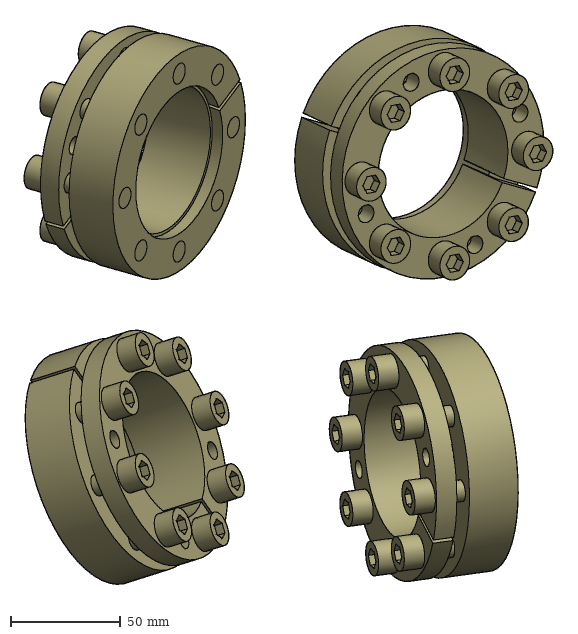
import cadquery as cq
import math

head_height = 10.0
flange_thickness = 10.0
gap = 6.0
outer_ring_length = 24.0
flange_x = head_height
hub_x = flange_x + flange_thickness
outer_ring_x = hub_x + gap
end_x = outer_ring_x + outer_ring_length
inner_ring_setback = gap
inner_ring_end_x = end_x - inner_ring_setback

bore_radius = 35.0
flange_radius = 54.5
outer_ring_radius = 55.0
hub_root_radius = 38.3
taper_angle = 4.3
slit_width = 2.0
inner_slit_angle = 202.5
outer_slit_angle = inner_slit_angle - 180.0

screw_count = 8
pitch_radius = 45.0
head_diameter = 16.0
shank_diameter = 10.0
socket_flats = 8.0
socket_depth = 5.0
jack_hole_count = 4
jack_hole_diameter = 8.4
first_jack_angle = 67.5


def cone_radius(x):
    """Radius of the conical seat at station x."""
    return hub_root_radius - (x - hub_x) * math.tan(math.radians(taper_angle))


def pitch_point(angle):
    """Y and Z of a point on the pitch circle."""
    radians = math.radians(angle)
    return (pitch_radius * math.cos(radians), pitch_radius * math.sin(radians))


def cross_plane(x):
    """Workplane across the axis at station x, drawn in Y and Z, facing +X."""
    return cq.Workplane("YZ", origin=(x, 0, 0))


def revolve_about_x(points):
    """Solid of revolution about X from an (x, radius) outline."""
    return cq.Workplane("XY").polyline(points).close().revolve(360, (0, 0), (1, 0))


def cut_slit(ring, angle):
    """Split a ring along +Y, then turn the slit to the given angle from +Y toward +Z."""
    slit = cq.Workplane("XY").box(
        end_x,
        outer_ring_radius + slit_width,
        slit_width,
        centered=(False, False, True),
    )
    return ring.cut(slit).rotate((0, 0, 0), (1, 0, 0), angle)


screw_points = [pitch_point(i * 360 / screw_count) for i in range(screw_count)]
jack_points = [pitch_point(first_jack_angle + i * 360 / jack_hole_count) for i in range(jack_hole_count)]
shank_holes = cross_plane(flange_x).pushPoints(screw_points).circle(shank_diameter / 2).extrude(end_x - flange_x)


def make_inner_ring():
    """Flanged ring with a tapered hub, split by one slit."""
    ring = revolve_about_x([
        (flange_x, bore_radius),
        (flange_x, flange_radius),
        (hub_x, flange_radius),
        (hub_x, hub_root_radius),
        (inner_ring_end_x, cone_radius(inner_ring_end_x)),
        (inner_ring_end_x, bore_radius),
    ])
    ring = cut_slit(ring, inner_slit_angle)
    jack_holes = cross_plane(flange_x).pushPoints(jack_points).circle(jack_hole_diameter / 2)
    return ring.cut(jack_holes.extrude(flange_thickness)).cut(shank_holes)


def make_outer_ring():
    """Plain ring with a conical bore, split opposite the inner ring's slit."""
    ring = revolve_about_x([
        (outer_ring_x, cone_radius(outer_ring_x)),
        (outer_ring_x, outer_ring_radius),
        (end_x, outer_ring_radius),
        (end_x, cone_radius(end_x)),
    ])
    return cut_slit(ring, outer_slit_angle).cut(shank_holes)


def make_screw(point):
    """Socket-head screw reaching from its head to the far face of the outer ring."""
    head = cross_plane(0).center(*point).circle(head_diameter / 2).extrude(head_height)
    shank = cross_plane(flange_x).center(*point).circle(shank_diameter / 2).extrude(end_x - flange_x)
    socket_corners = socket_flats / math.cos(math.radians(30))
    socket = cross_plane(0).center(*point).polygon(6, socket_corners).extrude(socket_depth)
    return head.union(shank).cut(socket)


inner_ring = make_inner_ring()
outer_ring = make_outer_ring()
screws = [make_screw(point) for point in screw_points]

result = cq.Compound.makeCompound([
    inner_ring.val(),
    outer_ring.val(),
    *[screw.val() for screw in screws],
])